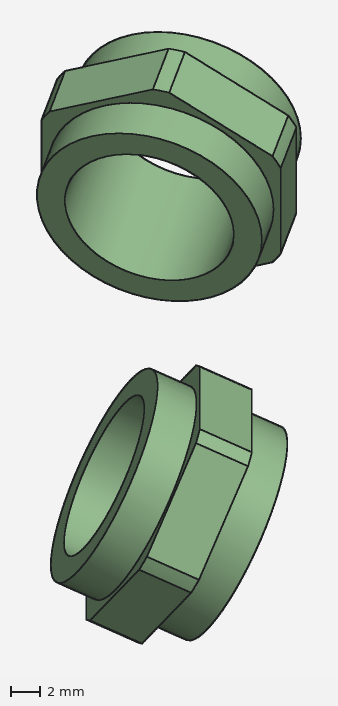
import cadquery as cq
import math

corner_diameter = 19.0
across_flats = 17.0
sleeve_diameter = 16.0
bore_diameter = 12.0
sleeve_length = 10.0
hex_width = 4.0

hex_corner_span = across_flats / math.cos(math.radians(30))
corner_turn = 30


def centred_disc(diameter, length):
    """Cylinder along Y, centred on the origin."""
    return cq.Workplane("XZ").circle(diameter / 2).extrude(length / 2, both=True)


def hex_collar():
    """Hexagonal collar with flats facing +X and -X and rounded-off corners."""
    hexagon = (
        cq.Workplane("XZ")
        .polygon(6, hex_corner_span)
        .extrude(hex_width / 2, both=True)
        .rotate((0, 0, 0), (0, 1, 0), corner_turn)
    )
    return hexagon.intersect(centred_disc(corner_diameter, hex_width))


sleeve = centred_disc(sleeve_diameter, sleeve_length)
bore = centred_disc(bore_diameter, sleeve_length)

result = sleeve.union(hex_collar()).cut(bore)